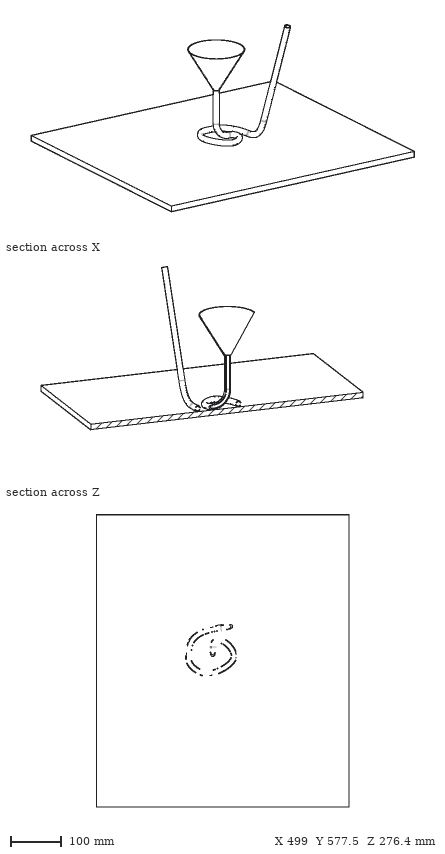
import cadquery as cq
import math

base_width = 499.0
base_depth = 577.5
base_thickness = 12.0

tube_diameter = 12.0
bore_diameter = 8.0
tube_radius = tube_diameter / 2
bore_radius = bore_diameter / 2
coil_height = base_thickness + tube_radius

stem_x = -19.5
stem_y = -2.5
stem_bend_radius = 30.0

funnel_bottom = 119.0
funnel_top = 204.0
rim_radius = 56.5
rim_wall = 2.0

inner_top = (-6.0, 40.0)
right_side = (22.5, 10.0)
front_side = (-31.0, -25.5)
left_side = (-67.5, 3.5)
coil_end = (-3.5, 65.0)

straw_foot_run = 44.0
straw_foot_height = 59.0
straw_length = 227.0
straw_heading = math.radians(7.5)
straw_slope = math.radians(71.7)


def along_straw_plane(run, rise):
    """Vector that goes `run` along the straw's heading and `rise` upward."""
    return cq.Vector(run * math.cos(straw_heading), run * math.sin(straw_heading), rise)


def at_coil_height(point):
    return cq.Vector(point[0], point[1], coil_height)


def make_base():
    return cq.Workplane("XY").box(base_width, base_depth, base_thickness, centered=(True, True, False))


def make_tube_path():
    """Centre line from the funnel, down the stem, round the coil and up the straw."""
    stem_top = cq.Vector(stem_x, stem_y, funnel_bottom)
    bend_top = cq.Vector(stem_x, stem_y, coil_height + stem_bend_radius)
    bend_end = cq.Vector(stem_x, stem_y + stem_bend_radius, coil_height)
    stem = cq.Edge.makeLine(stem_top, bend_top)
    stem_bend = cq.Edge.makeTangentArc(bend_top, cq.Vector(0, 0, -1), bend_end)

    coil_stations = [inner_top, right_side, front_side, left_side, coil_end]
    heading = along_straw_plane(1, 0)
    coil_points = [bend_end] + [at_coil_height(station) for station in coil_stations]
    to_right = cq.Vector(1, 0, 0)
    to_back = cq.Vector(0, 1, 0)
    coil_directions = [to_back, to_right, -to_back, -to_right, to_back, heading]
    coil = cq.Edge.makeSpline(coil_points, tangents=coil_directions)

    rise_start = at_coil_height(coil_end)
    straw_foot = rise_start + along_straw_plane(straw_foot_run, straw_foot_height - coil_height)
    straw_direction = along_straw_plane(math.cos(straw_slope), math.sin(straw_slope))
    straw_bend = cq.Edge.makeSpline([rise_start, straw_foot], tangents=[heading, straw_direction])
    straw = cq.Edge.makeLine(straw_foot, straw_foot + straw_direction * straw_length)
    return cq.Wire.assembleEdges([stem, stem_bend, coil, straw_bend, straw])


def make_tube():
    stem_section = cq.Workplane("XY", origin=(stem_x, stem_y, funnel_bottom))
    ring = stem_section.circle(tube_radius).circle(bore_radius)
    return ring.sweep(cq.Workplane(make_tube_path()), clean=False)


def make_funnel():
    """Conical shell whose throat matches the tube's wall."""
    wall_outline = [
        (bore_radius, funnel_bottom),
        (tube_radius, funnel_bottom),
        (rim_radius, funnel_top),
        (rim_radius - rim_wall, funnel_top),
    ]
    profile = cq.Workplane("XZ", origin=(stem_x, stem_y, 0)).polyline(wall_outline).close()
    return profile.revolve(360, (0, 0, 0), (0, 1, 0))


def make_glass():
    """Funnel and bent tube in one piece, hollow from rim to straw tip."""
    return make_tube().union(make_funnel(), clean=False)


base = make_base()
glass = make_glass()

result = cq.Compound.makeCompound([base.val(), *glass.vals()])